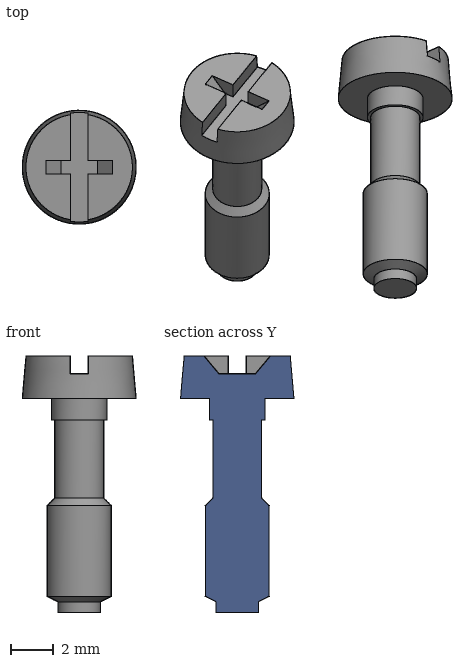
import cadquery as cq
import math


head_height = 2.0
head_base_diameter = 5.33
head_taper_angle = 5.0

shank_length = 10.0
collar_diameter = 2.6
collar_length = 1.0
neck_diameter = 2.3
thread_diameter = 3.0
tip_diameter = 2.0
tip_length = 0.5
thread_top_height = 5.0
thread_top_cone_angle = 45.0
thread_end_cone_angle = 27.0

slot_width = 0.83
drive_depth = 0.83
recess_width = 0.62
recess_length = 3.1
recess_end_angle = 40.0


def slope_offset(distance, angle):
    """Sideways shift of a line that leans by an angle over a distance."""
    return distance * math.tan(math.radians(angle))


def make_body():
    """Revolve the half profile of head, collar, neck, thread and tip."""
    head_base_radius = head_base_diameter / 2
    head_top_radius = head_base_radius - slope_offset(head_height, head_taper_angle)
    collar_radius = collar_diameter / 2
    neck_radius = neck_diameter / 2
    thread_radius = thread_diameter / 2
    tip_radius = tip_diameter / 2

    tip_end_z = -shank_length
    tip_top_z = tip_end_z + tip_length
    thread_bottom_z = tip_top_z + slope_offset(thread_radius - tip_radius, thread_end_cone_angle)
    thread_top_z = tip_end_z + thread_top_height
    neck_bottom_z = thread_top_z + slope_offset(thread_radius - neck_radius, thread_top_cone_angle)

    half_profile = [
        (0, head_height),
        (head_top_radius, head_height),
        (head_base_radius, 0),
        (collar_radius, 0),
        (collar_radius, -collar_length),
        (neck_radius, -collar_length),
        (neck_radius, neck_bottom_z),
        (thread_radius, thread_top_z),
        (thread_radius, thread_bottom_z),
        (tip_radius, tip_top_z),
        (tip_radius, tip_end_z),
        (0, tip_end_z),
    ]
    return cq.Workplane("XZ").polyline(half_profile).close().revolve(360, (0, 0), (0, 1))


def make_slot():
    """Straight slot cut across the whole head along Y."""
    return (
        cq.Workplane("XY", origin=(0, 0, head_height - drive_depth))
        .rect(slot_width, 2 * head_base_diameter)
        .extrude(2 * drive_depth)
    )


def make_recess():
    """Short recess along X with the slot's floor level and outward sloping ends."""
    floor_z = head_height - drive_depth
    top_half_length = recess_length / 2
    floor_half_length = top_half_length - slope_offset(drive_depth, recess_end_angle)
    return (
        cq.Workplane("XZ")
        .polyline([
            (-top_half_length, head_height),
            (-floor_half_length, floor_z),
            (floor_half_length, floor_z),
            (top_half_length, head_height),
        ])
        .close()
        .extrude(recess_width / 2, both=True)
    )


result = make_body().cut(make_slot()).cut(make_recess())